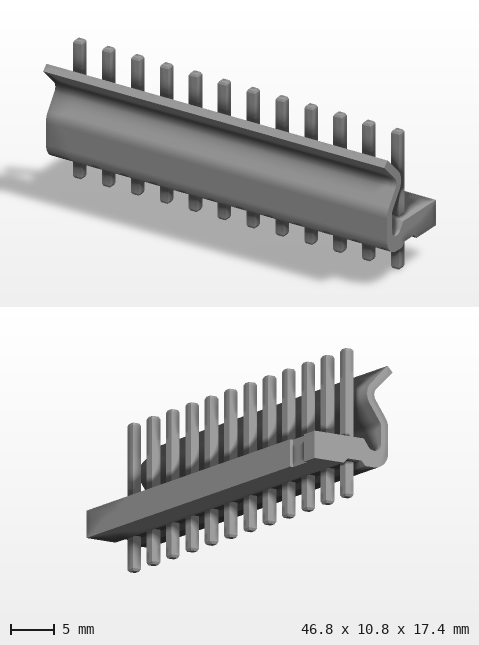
import cadquery as cq
import math


length = 46.75
base_back = 5.5
base_front = -1.25
base_top = 3.23

groove_depth = 0.55
groove_half_width = 1.5

wall = 1.0
inner_radius = 1.0
outer_radius = inner_radius + wall
wall_front = -4.65
bend_y = wall_front + outer_radius
hook_z = 2.95
lower_bend_z = 4.9
lean = math.radians(35)
lean_length = 2.45
flare = math.radians(45)
flare_length = 3.2

notch_start = 2.2
notch_width = 2.85
notch_depth = 0.4

pin_count = 12
end_margin = 1.6
pin_pitch = (length - 2 * end_margin) / (pin_count - 1)
pin_side = 1.1
pin_top = 13.9
pin_bottom = -3.55
tip_height = 0.3
tip_inset = 0.15


def polar(center, radius, angle):
    """Point in the YZ plane; the angle turns from +Y towards +Z."""
    return (center[0] + radius * math.cos(angle), center[1] + radius * math.sin(angle))


def make_rail():
    hook = (bend_y, hook_z)
    foot = (bend_y, outer_radius)
    lower_bend = (bend_y, lower_bend_z)
    foot_middle = -0.75 * math.pi

    lean_normal = math.pi - lean
    lean_direction = math.pi / 2 - lean
    lean_start = polar(lower_bend, inner_radius + outer_radius, lean_normal)
    upper_bend = polar(lean_start, lean_length, lean_direction)

    upper_start = -lean
    upper_end = flare
    upper_middle = (upper_start + upper_end) / 2
    lower_middle = math.pi - lean / 2
    tip_direction = math.pi / 2 + flare
    tip_front = polar(polar(upper_bend, inner_radius, upper_end), flare_length, tip_direction)
    tip_back = polar(polar(upper_bend, outer_radius, upper_end), flare_length, tip_direction)

    edge_y = base_front - bend_y
    edge_z = base_top - hook_z
    edge_distance = math.hypot(edge_y, edge_z)
    hook_end = math.atan2(edge_z, edge_y) - math.acos(inner_radius / edge_distance)
    hook_middle = (hook_end - math.pi) / 2

    groove_top_half = groove_half_width - groove_depth

    return (
        cq.Workplane("YZ")
        .moveTo(base_back, 0)
        .lineTo(groove_half_width, 0)
        .lineTo(groove_top_half, groove_depth)
        .lineTo(-groove_top_half, groove_depth)
        .lineTo(-groove_half_width, 0)
        .lineTo(bend_y, 0)
        .threePointArc(polar(foot, outer_radius, foot_middle), (wall_front, outer_radius))
        .lineTo(wall_front, lower_bend_z)
        .threePointArc(
            polar(lower_bend, outer_radius, lower_middle),
            polar(lower_bend, outer_radius, lean_normal),
        )
        .lineTo(*polar(upper_bend, inner_radius, upper_start))
        .threePointArc(
            polar(upper_bend, inner_radius, upper_middle),
            polar(upper_bend, inner_radius, upper_end),
        )
        .lineTo(*tip_front)
        .lineTo(*tip_back)
        .lineTo(*polar(upper_bend, outer_radius, upper_end))
        .threePointArc(
            polar(upper_bend, outer_radius, upper_middle),
            polar(upper_bend, outer_radius, upper_start),
        )
        .lineTo(*polar(lower_bend, inner_radius, lean_normal))
        .threePointArc(
            polar(lower_bend, inner_radius, lower_middle),
            polar(lower_bend, inner_radius, math.pi),
        )
        .lineTo(wall_front + wall, hook_z)
        .threePointArc(
            polar(hook, inner_radius, hook_middle),
            polar(hook, inner_radius, hook_end),
        )
        .lineTo(base_front, base_top)
        .lineTo(base_back, base_top)
        .close()
        .extrude(length)
    )


def make_notch():
    return (
        cq.Workplane("XY")
        .box(notch_width, notch_depth, base_top, centered=False)
        .translate((notch_start, base_back - notch_depth, 0))
    )


def make_pin():
    """Square pin on the Z axis with tapered ends."""
    taper = math.degrees(math.atan2(tip_inset, tip_height))
    shaft_bottom = pin_bottom + tip_height
    shaft_top = pin_top - tip_height
    section = cq.Sketch().rect(pin_side, pin_side)
    shaft_length = shaft_top - shaft_bottom
    shaft = cq.Workplane("XY").placeSketch(section).extrude(shaft_length)
    shaft = shaft.translate((0, 0, shaft_bottom))
    tip = cq.Workplane("XY").placeSketch(section).extrude(tip_height, taper=taper)
    upper_tip = tip.translate((0, 0, shaft_top))
    lower_tip = tip.mirror("XY").translate((0, 0, shaft_bottom))
    return shaft.union(upper_tip).union(lower_tip)


result = make_rail().cut(make_notch())
pin = make_pin()
for index in range(pin_count):
    result = result.union(pin.translate((end_margin + index * pin_pitch, 0, 0)))